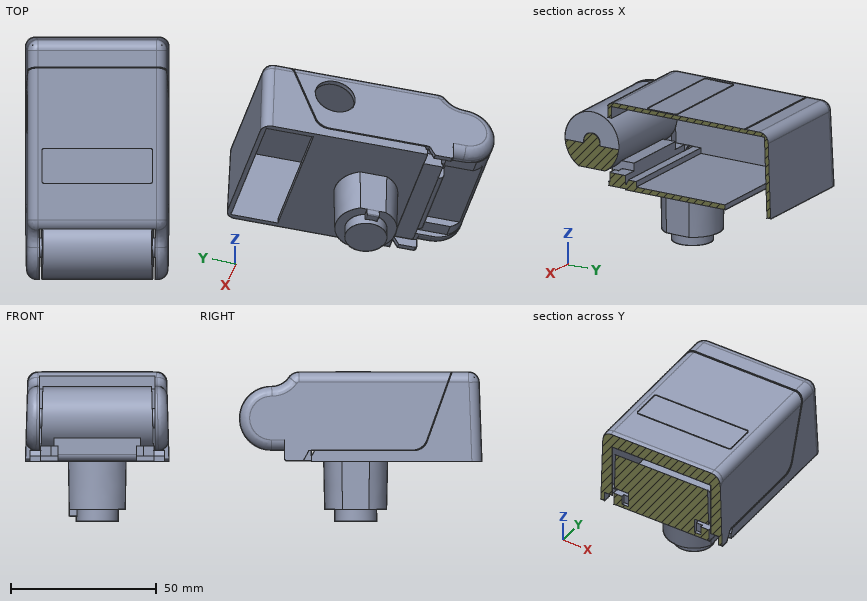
import cadquery as cq
import math

base_width = 49.25
body_height = 30.7
back_y = 43.3
side_draft = 1.65
back_draft = 2.0
wall = 1.7
rear_radius = 3.65
edge_fillet = 3.5

nose_radius = 11.0
nose_y = -28.8
nose_z = 14.9
shoulder_y = -19.35
shoulder_radius = 4.3
tab_front_y = -24.4
tab_bottom_z = 0.3
tab_chamfer = 0.6

seam_top_y = 32.9
seam_z = 3.9
seam_corner_y = 23.25
seam_radius = 5.0
seam_width = 0.25
seam_depth = 0.25
base_front_y = -15.2
base_end_slope = 1.2
tab_rear_top_y = -15.95
tab_rear_bottom_y = -17.9

cheek_gap = 39.7
lip_front_y = -22.5
lip_bottom_z = 24.9
roller_radius = 10.9
roller_bottom_z = 5.3
roller_half_length = 19.35
pivot_radius = 3.3

floor_thickness = 1.9
floor_rear_y = 24.9
rail_rear_y = -10.8
block_width = 38.7
ledge_front_y = -22.0
block_front_y = -21.6
slot_outer_width = 31.7
slot_depth = 1.7
latch_width = 26.9
latch_front_y = -24.1
latch_top_z = 8.1
latch_radius = 2.2
latch_window_width = 29.7

hole_radius = 7.1
hole_y = 17.45
hole_z = 19.35

plate_width = 37.9
plate_depth = 12.0
plate_y = -0.8
plate_height = 0.25
plate_corner = 0.75

stem_top_radius = 11.0
stem_bottom_radius = 10.6
stem_length = 16.3
flat_top_half = 9.9
flat_bottom_half = 9.6
spigot_radius = 7.2
spigot_bottom_z = -20.4
key_width = 4.3
key_height = 2.4
key_round = 0.3


def box(x_min, x_max, y_min, y_max, z_min, z_max):
    size = (x_max - x_min, y_max - y_min, z_max - z_min)
    return cq.Workplane("XY").box(*size, centered=False).translate((x_min, y_min, z_min))


def extrude_across(profile, width):
    """Extrude a closed outline drawn in (Y, Z) symmetrically along X."""
    return profile.close().extrude(width / 2, both=True)


def back_at(z):
    return back_y - z * math.tan(math.radians(back_draft))


def half_width_at(z):
    return base_width / 2 - z * math.tan(math.radians(side_draft))


def flank_wedge(inset, height):
    """Full-length prism whose two flanks lean inward by the draft angle."""
    bottom = half_width_at(0) - inset
    top = half_width_at(height) - inset
    return (
        cq.Workplane("XZ")
        .polyline([(-bottom, 0), (bottom, 0), (top, height), (-top, height)])
        .close()
        .extrude(base_width, both=True)
    )


def side_profile():
    """Outline of the housing and the cheeks in (Y, Z)."""
    run = shoulder_y - nose_y
    drop = body_height - (nose_z + nose_radius)
    radius_sum = (run ** 2 + drop ** 2) / (2 * drop)
    share = shoulder_radius / radius_sum
    bend = math.asin(run / radius_sum) / 2
    hollow_radius = radius_sum - shoulder_radius
    shoulder_mid = (
        shoulder_y - shoulder_radius * math.sin(bend),
        body_height - shoulder_radius * (1 - math.cos(bend)),
    )
    bend_point = (shoulder_y - run * share, body_height - drop * share)
    hollow_mid = (
        nose_y + hollow_radius * math.sin(bend),
        nose_z + nose_radius + hollow_radius * (1 - math.cos(bend)),
    )
    lean = math.radians(back_draft)
    arc_z = body_height - rear_radius
    arc_y = back_at(arc_z) - rear_radius / math.cos(lean)
    arc_middle = (math.pi / 2 + lean) / 2

    def on_rear_arc(angle):
        return (arc_y + rear_radius * math.cos(angle), arc_z + rear_radius * math.sin(angle))

    return (
        cq.Workplane("YZ")
        .moveTo(back_y, 0)
        .lineTo(*on_rear_arc(lean))
        .threePointArc(on_rear_arc(arc_middle), on_rear_arc(math.pi / 2))
        .lineTo(shoulder_y, body_height)
        .threePointArc(shoulder_mid, bend_point)
        .threePointArc(hollow_mid, (nose_y, nose_z + nose_radius))
        .threePointArc((nose_y - nose_radius, nose_z), (nose_y, nose_z - nose_radius))
        .lineTo(tab_front_y, nose_z - nose_radius)
        .lineTo(tab_front_y, tab_bottom_z + tab_chamfer)
        .lineTo(tab_front_y + tab_chamfer, tab_bottom_z)
        .lineTo(tab_rear_bottom_y, tab_bottom_z)
        .lineTo(tab_rear_top_y, seam_z)
        .lineTo(base_front_y + base_end_slope, seam_z)
        .lineTo(base_front_y, floor_thickness)
        .lineTo(base_front_y, 0)
    )


def outer_body():
    """Solid housing with rounded flank outlines."""
    body = extrude_across(side_profile(), 2 * base_width).intersect(flank_wedge(0, body_height))

    def is_rim(edge):
        centre = edge.Center()
        return centre.z > seam_z + wall or centre.y < tab_front_y - tab_chamfer

    rims = body.faces("<X or >X").edges().filter(is_rim)
    return body.newObject(rims.vals()).fillet(edge_fillet)


def cavity():
    """Space inside the walls, open at the underside."""
    top = body_height - wall
    outline = (
        cq.Workplane("YZ")
        .moveTo(back_at(0) - wall, 0)
        .lineTo(back_at(top) - wall, top)
        .lineTo(lip_front_y + wall, top)
        .lineTo(lip_front_y + wall, 0)
    )
    return extrude_across(outline, 2 * base_width).intersect(flank_wedge(wall, body_height))


def front_openings():
    """Gap between the cheeks and the clearance between the side tabs."""
    gap = cheek_gap / 2
    tab_inside = base_width / 2 - wall
    front = nose_y - nose_radius
    above_lip = box(-gap, gap, front, lip_front_y, 0, body_height)
    below_lip = box(-gap, gap, front, lip_front_y + wall, 0, lip_bottom_z)
    between_tabs = box(-tab_inside, tab_inside, tab_front_y, base_front_y, 0, seam_z)
    return above_lip.union(below_lip).union(between_tabs)


def seam_band():
    """Thin band following the line where the rear housing meets the cover, in side view."""
    slope = (seam_top_y - seam_corner_y) / (body_height - seam_z)
    front = nose_y - 2 * nose_radius
    above = 2 * body_height
    above_y = seam_corner_y + slope * (above - seam_z)
    corner = cq.selectors.NearestToPointSelector((0, seam_corner_y, seam_z))

    def cover_area(shift):
        area = cq.Workplane("YZ").polyline([
            (seam_corner_y + shift, seam_z - shift),
            (front, seam_z - shift),
            (front, above),
            (above_y + shift, above),
        ])
        return extrude_across(area, 2 * base_width).edges("|X").edges(corner).fillet(seam_radius)

    band = cover_area(seam_width / 2).cut(cover_area(-seam_width / 2))
    return band.intersect(box(-base_width, base_width, base_front_y, back_y, 0, body_height))


def seam_groove():
    """Shallow groove along the seam on the top and on both flanks."""
    core_height = body_height - seam_depth
    core_rounding = edge_fillet - seam_depth
    core = flank_wedge(seam_depth, core_height).edges("|Y and >Z").fillet(core_rounding)
    return seam_band().cut(core)


def stem():
    """Tapered stem with two flats, a spigot and a locating key."""
    cone = (
        cq.Workplane("XY")
        .circle(stem_top_radius)
        .workplane(offset=-stem_length)
        .circle(stem_bottom_radius)
        .loft()
    )
    flats = (
        cq.Workplane("XZ")
        .polyline([
            (-flat_top_half, 0),
            (flat_top_half, 0),
            (flat_bottom_half, -stem_length),
            (-flat_bottom_half, -stem_length),
        ])
        .close()
        .extrude(2 * stem_top_radius, both=True)
    )
    spigot = cq.Workplane("XY").circle(spigot_radius).extrude(spigot_bottom_z)
    key_bottom_z = -stem_length - key_height
    key = box(-flat_bottom_half, 0, -key_width / 2, key_width / 2, key_bottom_z, -stem_length)
    key = key.faces("<Z").edges("not >X").fillet(key_round)
    return cone.intersect(flats).union(spigot).union(key)


def roller():
    """Flap roller with a flat underside and a window for the latch plate."""
    half_window = latch_window_width / 2
    front = nose_y - nose_radius
    rear = nose_y + nose_radius
    barrel = (
        cq.Workplane("YZ")
        .center(nose_y, nose_z)
        .circle(roller_radius)
        .extrude(base_width, both=True)
    )
    ends = flank_wedge(base_width / 2 - roller_half_length, body_height)
    barrel = barrel.intersect(ends)
    barrel = barrel.cut(box(-base_width, base_width, front, rear, 0, roller_bottom_z))
    barrel = barrel.cut(box(-half_window, half_window, front, latch_front_y, 0, latch_top_z))
    pin_length = cheek_gap + wall
    pin = (
        cq.Workplane("YZ")
        .center(nose_y, nose_z)
        .circle(pivot_radius)
        .extrude(pin_length / 2, both=True)
    )
    return barrel.union(pin)


def base():
    """Floor, sloped front ends of the base rails, front block and latch plate."""
    inside = base_width / 2 - wall
    half_block = block_width / 2
    half_slot = slot_outer_width / 2
    half_latch = latch_width / 2
    floor = box(-inside, inside, base_front_y, floor_rear_y, 0, floor_thickness)
    rail_outline = cq.Workplane("YZ").polyline([
        (base_front_y, 0),
        (base_front_y, floor_thickness),
        (base_front_y + base_end_slope, seam_z),
        (rail_rear_y, seam_z),
        (rail_rear_y, 0),
    ])
    rails = extrude_across(rail_outline, 2 * inside)
    ledge = box(-half_block, half_block, ledge_front_y, base_front_y, tab_bottom_z, floor_thickness)
    block = box(-half_block, half_block, block_front_y, base_front_y, floor_thickness, roller_bottom_z)
    slot_rear_y = block_front_y + slot_depth
    slots = box(-half_slot, half_slot, block_front_y, slot_rear_y, floor_thickness, roller_bottom_z)
    latch = box(-half_latch, half_latch, latch_front_y, base_front_y, tab_bottom_z, latch_top_z)
    latch = latch.edges("|X and <Y and <Z").fillet(latch_radius)
    return floor.union(rails).union(ledge).union(block.cut(slots)).union(latch)


def name_plate():
    return (
        cq.Workplane("XY", origin=(0, plate_y, body_height))
        .rect(plate_width, plate_depth)
        .extrude(plate_height)
        .edges("|Z")
        .fillet(plate_corner)
    )


def cable_hole():
    """Hole through the left flank only."""
    return (
        cq.Workplane("YZ", origin=(-base_width / 2, hole_y, hole_z))
        .circle(hole_radius)
        .extrude(2 * wall)
    )


housing = outer_body()
housing = housing.cut(seam_groove())
housing = housing.cut(cavity())
housing = housing.cut(front_openings())
housing = housing.cut(cable_hole())
result = housing.union(base()).union(roller()).union(stem()).union(name_plate())